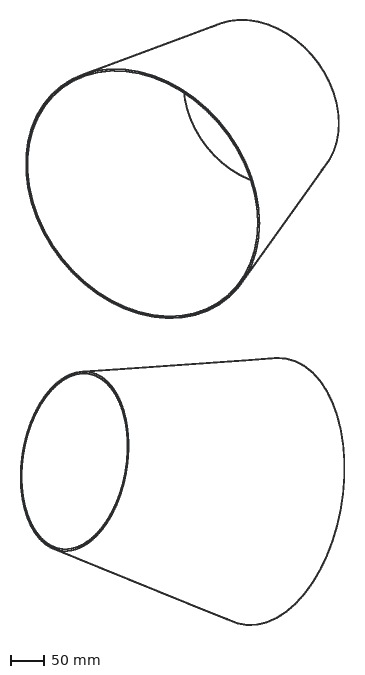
import cadquery as cq

wide_diameter = 406.5
narrow_diameter = 273.0
length = 356.0
wall = 3.0

wide_radius = wide_diameter / 2
narrow_radius = narrow_diameter / 2

wall_section = (
    cq.Workplane("XY")
    .moveTo(wide_radius - wall, 0)
    .lineTo(wide_radius, 0)
    .lineTo(narrow_radius, length)
    .lineTo(narrow_radius - wall, length)
    .close()
)

result = wall_section.revolve(360, (0, 0, 0), (0, 1, 0))